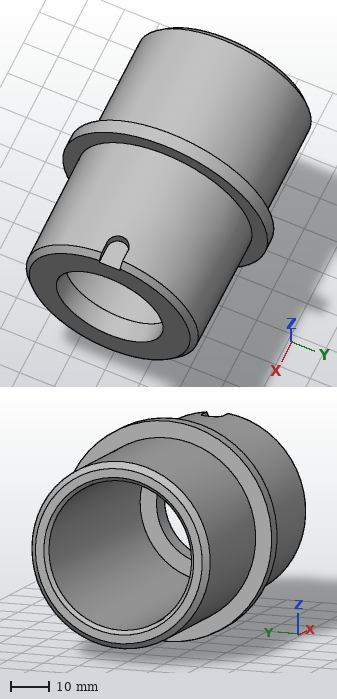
import cadquery as cq

length = 74.0
flange_radius = 29.49
flange_start = 35.0
flange_width = 4.0
body_radius = 25.0
tip_radius = 24.8
end_chamfer = 1.6

bore_radius = 20.0
bore_chamfer = 1.0
outlet_radius = 15.4
end_wall = 6.0

slot_width = 6.0
slot_length = 8.0
slot_depth = 2.95

flange_end = flange_start + flange_width
half_length = length / 2


def make_sleeve():
    """Revolve the half section of the sleeve, bore included, about the X axis."""
    section = [
        (0, bore_radius + bore_chamfer),
        (0, body_radius - end_chamfer),
        (end_chamfer, body_radius),
        (flange_start, body_radius),
        (flange_start, flange_radius),
        (flange_end, flange_radius),
        (flange_end, body_radius),
        (length - end_chamfer, tip_radius),
        (length, tip_radius - end_chamfer),
        (length, outlet_radius),
        (length - end_wall, outlet_radius),
        (length - end_wall, bore_radius),
        (bore_chamfer, bore_radius),
    ]
    return cq.Workplane("XY").polyline(section).close().revolve(360, (0, 0, 0), (1, 0, 0))


def make_slot_cutter():
    """Cutter with a flat floor and a round inner end, open at the +X face."""
    slot_radius = slot_width / 2
    slot_start = length - slot_length
    arc_center = slot_start + slot_radius
    return (
        cq.Workplane("XY")
        .workplane(offset=body_radius - slot_depth)
        .moveTo(length, -slot_radius)
        .lineTo(arc_center, -slot_radius)
        .threePointArc((slot_start, 0), (arc_center, slot_radius))
        .lineTo(length, slot_radius)
        .close()
        .extrude(flange_radius - body_radius + slot_depth)
    )


result = make_sleeve().cut(make_slot_cutter()).translate((-half_length, 0, 0))